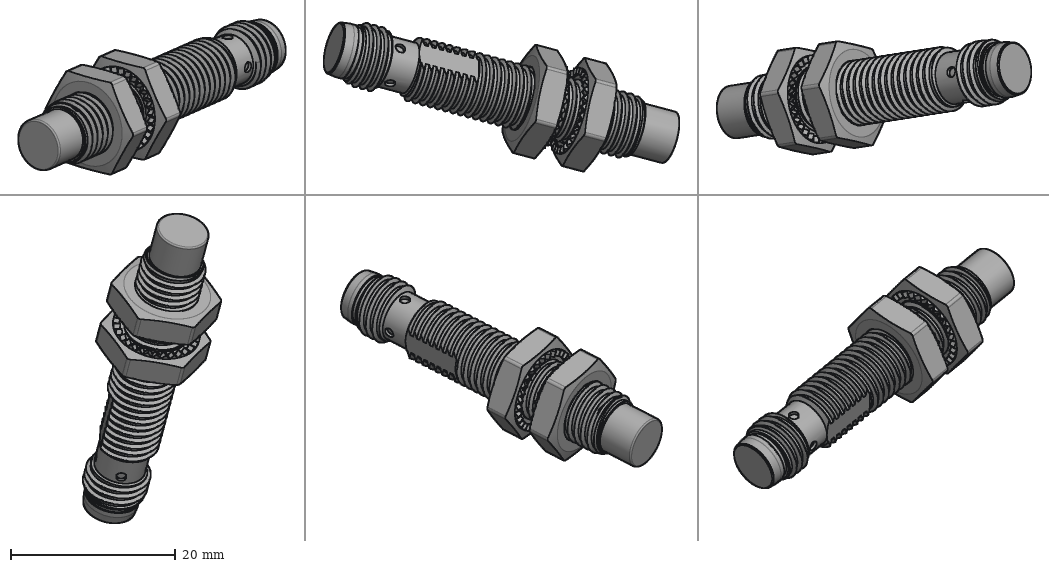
import cadquery as cq
import math


total_length = 44.6
cap_radius = 3.25
cap_length = 4.65
cap_edge_round = 0.2

thread_radius = 4.0
thread_core_radius = 3.5
thread_pitch = 1.0
crest_offset = 0.58
ridge_height = thread_radius - thread_core_radius
ridge_half_width = ridge_height * math.tan(math.radians(30))
ridge_sink = 0.1
main_thread_end = 34.6
lead_in_angle = 30
neck_angle = 60

neck_radius = 3.2
neck_end = 38.1
window_radius = 0.63
window_depth = 0.45
window_y = 37.1

flat_start = 26.7
flat_distance = neck_radius

plug_thread_end = 42.1
groove_end = 42.7
collar_radius = 3.4
collar_taper_start = 43.35
end_chamfer = 0.15

nut_across_flats = 12.0
nut_body_thickness = 3.5
nut_corner_round = 0.5
nut_face_radius = 5.4
nut_chamfer_angle = 14
tooth_count = 30
tooth_height = 0.5
tooth_inner_radius = 4.6
front_nut_y = 9.6
nut_gap = 2.0


def turned(points):
    """Solid of revolution about Y from a closed outline of (radius, y) points."""
    return cq.Workplane("XY").polyline(points).close().revolve(360, (0, 0, 0), (0, 1, 0))


def thread_ridge(start, end):
    """Right-handed helical ridge of triangular section, long enough to cover start to end."""
    first = math.floor(start) + crest_offset - thread_pitch
    length = end + thread_pitch - first
    root_radius = thread_core_radius - ridge_sink
    root_half_width = ridge_half_width * (ridge_height + ridge_sink) / ridge_height
    helix = cq.Wire.makeHelix(thread_pitch, length, thread_core_radius)
    ridge = (
        cq.Workplane("XZ")
        .polyline([
            (root_radius, -root_half_width),
            (thread_radius, 0),
            (root_radius, root_half_width),
        ])
        .close()
        .sweep(cq.Workplane(obj=helix), isFrenet=True)
    )
    return ridge.rotate((0, 0, 0), (1, 0, 0), -90).translate((0, first, 0))


def end_trim(end, end_radius, angle, direction):
    """Tool that ends a thread at y = end with a cone rising from end_radius into the thread.

    `direction` is +1 where the removed stock lies toward +Y and -1 where it lies toward -Y.
    """
    outer = thread_radius + ridge_sink
    cone_top = end - direction * (outer - end_radius) / math.tan(math.radians(angle))
    far = end + direction * 3 * thread_pitch
    return turned([(0, end), (end_radius, end), (outer, cone_top), (outer, far), (0, far)])


def threaded_section(start, end, start_radius, start_angle, end_radius, end_angle):
    """Core with a helical ridge, trimmed by a cone at each end."""
    overrun = 2 * thread_pitch
    core = (
        cq.Workplane("XZ", origin=(0, start - overrun, 0))
        .circle(thread_core_radius)
        .extrude(-(end - start + 2 * overrun))
    )
    return (
        core.union(thread_ridge(start, end))
        .cut(end_trim(start, start_radius, start_angle, -1))
        .cut(end_trim(end, end_radius, end_angle, 1))
    )


def make_cap():
    cap = turned([(0, 0), (cap_radius, 0), (cap_radius, cap_length), (0, cap_length)])
    return cap.faces("<Y").edges().fillet(cap_edge_round)


def make_neck():
    neck = turned([
        (0, main_thread_end),
        (neck_radius, main_thread_end),
        (neck_radius, neck_end),
        (0, neck_end),
    ])
    floor_radius = neck_radius - window_depth
    bores = (
        cq.Workplane("XY", origin=(0, window_y, 0))
        .circle(window_radius)
        .extrude(thread_radius, both=True)
    )
    bores = bores.union(bores.rotate((0, 0, 0), (0, 1, 0), 90))
    floor = turned([
        (0, main_thread_end),
        (floor_radius, main_thread_end),
        (floor_radius, neck_end),
        (0, neck_end),
    ])
    return neck.cut(bores.cut(floor))


def make_connector_end():
    return turned([
        (0, plug_thread_end),
        (neck_radius, plug_thread_end),
        (neck_radius, groove_end),
        (collar_radius, groove_end),
        (collar_radius, collar_taper_start),
        (cap_radius, total_length - end_chamfer),
        (cap_radius - end_chamfer, total_length),
        (0, total_length),
    ])


def cut_wrench_flats(thread):
    """Two parallel flats, each ending in a square step at its front end."""
    flat_length = main_thread_end - flat_start
    for side in (-1, 1):
        cutter = cq.Workplane("XY").box(
            thread_radius, flat_length, 2 * thread_radius
        ).translate((side * (flat_distance + thread_radius / 2), flat_start + flat_length / 2, 0))
        thread = thread.cut(cutter)
    return thread


def make_sensor():
    main_thread = threaded_section(
        cap_length, main_thread_end, thread_core_radius, lead_in_angle, neck_radius, neck_angle
    )
    plug_thread = threaded_section(
        neck_end, plug_thread_end, neck_radius, neck_angle, thread_core_radius, lead_in_angle
    )
    return (
        cut_wrench_flats(main_thread)
        .union(make_cap())
        .union(make_neck())
        .union(plug_thread)
        .union(make_connector_end())
    )


def make_nut():
    """Nut with its plain face at Y = 0 and its serrated face toward +Y."""
    hexagon = (
        cq.Workplane("XZ")
        .polygon(6, nut_across_flats / math.cos(math.radians(30)))
        .extrude(-nut_body_thickness)
        .edges("|Y")
        .fillet(nut_corner_round)
    )
    outer = nut_across_flats
    drop = (outer - nut_face_radius) * math.tan(math.radians(nut_chamfer_angle))
    double_cone = turned([
        (0, 0),
        (nut_face_radius, 0),
        (outer, drop),
        (outer, nut_body_thickness - drop),
        (nut_face_radius, nut_body_thickness),
        (0, nut_body_thickness),
    ])
    bore = cq.Workplane("XZ").circle(thread_radius).extrude(-nut_body_thickness)
    return hexagon.intersect(double_cone).union(make_tooth_ring()).cut(bore)


def make_tooth_ring():
    """Ring on the nut face, cut by straight radial V grooves that meet at the inner radius."""
    ring = (
        cq.Workplane("XZ", origin=(0, nut_body_thickness, 0))
        .circle(nut_face_radius)
        .circle(tooth_inner_radius)
        .extrude(-tooth_height)
    )
    groove_half_width = tooth_inner_radius * math.tan(math.pi / tooth_count)
    groove = (
        cq.Workplane("YZ")
        .polyline([
            (nut_body_thickness, 0),
            (nut_body_thickness + tooth_height, groove_half_width),
            (nut_body_thickness + tooth_height, -groove_half_width),
        ])
        .close()
        .extrude(nut_across_flats)
        .val()
    )
    axis_start = cq.Vector(0, 0, 0)
    axis_end = cq.Vector(0, 1, 0)
    grooves = [groove.rotate(axis_start, axis_end, 360 * i / tooth_count) for i in range(tooth_count)]
    return cq.Workplane(obj=ring.val().cut(*grooves))


sensor = make_sensor()
nut_length = nut_body_thickness + tooth_height
rear_nut_y = front_nut_y + 2 * nut_length + nut_gap
front_nut = make_nut().translate((0, front_nut_y, 0))
rear_nut = make_nut().rotate((0, 0, 0), (0, 0, 1), 180).translate((0, rear_nut_y, 0))

result = cq.Compound.makeCompound([sensor.val(), front_nut.val(), rear_nut.val()])